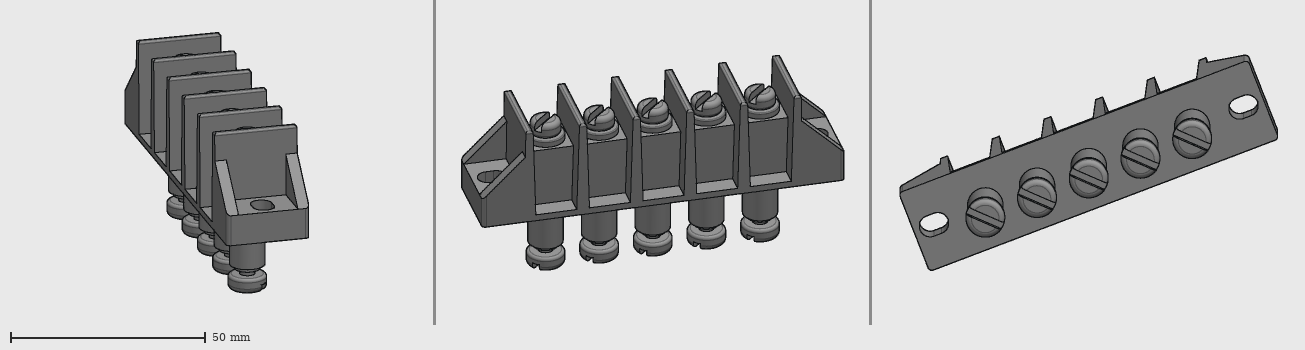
import cadquery as cq

LENGTH = 96.5
WIDTH = 22.1
FLOOR_HEIGHT = 1.7
BARRIER_TOP = 26.7
CORNER_RADIUS = 1.1

CELL_COUNT = 5
PITCH = 14.3
CELL_WIDTH_AT_FLOOR = 10.9
BARRIER_TOP_THICKNESS = 1.9
CELL_WIDTH_AT_TOP = PITCH - BARRIER_TOP_THICKNESS
BARRIER_ROUND = 0.6

SEAT_HEIGHT = 17.8
SEAT_DEPTH = 11.9

EAR_HEIGHT = 8.2
GUSSET_HEIGHT = 19.3
GUSSET_THICKNESS = 3.1
END_WALL_TOP_X = CELL_COUNT * PITCH / 2 + BARRIER_TOP_THICKNESS / 2
END_WALL_FOOT_X = END_WALL_TOP_X + 0.3
MOUNT_HOLE_X = 42.8
MOUNT_HOLE_LENGTH = 7.7
MOUNT_HOLE_WIDTH = 5.6

WASHER_DIAMETER = 10.0
WASHER_TOP = 19.5
WASHER_ROUND = 0.3
UPPER_HEAD_DIAMETER = 8.0
UPPER_HEAD_TOP = 23.6
UPPER_HEAD_ROUND = 1.4
UPPER_HEAD_BASE_ROUND = 0.9
UPPER_SLOT_FLOOR = 21.5
SLEEVE_DIAMETER = 9.2
SLEEVE_BOTTOM = -12.8
COLLAR_DIAMETER = 6.7
COLLAR_BOTTOM = -14.0
NECK_DIAMETER = 4.0
LOWER_HEAD_DIAMETER = 10.0
LOWER_HEAD_TOP = -15.4
LOWER_HEAD_BOTTOM = -19.5
LOWER_HEAD_TOP_ROUND = 0.9
LOWER_HEAD_ROUND = 1.4
LOWER_SLOT_FLOOR = -17.5
SLOT_WIDTH = 2.0
SLOT_ANGLE = 45.0
SLOT_CUT_LENGTH = 2 * LOWER_HEAD_DIAMETER

CELL_CENTERS = [(i - (CELL_COUNT - 1) / 2) * PITCH for i in range(CELL_COUNT)]


def extrude_across(points, width):
    """Extrude an XZ outline by a width centred on Y = 0."""
    return cq.Workplane("XZ").polyline(points).close().extrude(width / 2, both=True)


def end_wall_x(z):
    """Distance of the slightly drafted outer face of the end barriers from X = 0 at height z."""
    height_share = (z - EAR_HEIGHT) / (BARRIER_TOP - EAR_HEIGHT)
    return END_WALL_FOOT_X + height_share * (END_WALL_TOP_X - END_WALL_FOOT_X)


def make_body():
    """Side outline of the housing with rounded vertical end corners."""
    half_length = LENGTH / 2
    right_half = [
        (half_length, 0),
        (half_length, EAR_HEIGHT),
        (end_wall_x(GUSSET_HEIGHT), GUSSET_HEIGHT),
        (END_WALL_TOP_X, BARRIER_TOP),
    ]
    left_half = [(-x, z) for x, z in reversed(right_half)]
    body = extrude_across(right_half + left_half, WIDTH)
    return body.edges("|Z").edges("<X or >X").fillet(CORNER_RADIUS)


def make_cell_cutter(center_x):
    """Drafted gap between two barriers, narrowing towards its floor."""
    half_floor = CELL_WIDTH_AT_FLOOR / 2
    half_top = CELL_WIDTH_AT_TOP / 2
    outline = [
        (center_x - half_floor, FLOOR_HEIGHT),
        (center_x + half_floor, FLOOR_HEIGHT),
        (center_x + half_top, BARRIER_TOP),
        (center_x - half_top, BARRIER_TOP),
    ]
    return extrude_across(outline, WIDTH)


def make_ear_pocket(side):
    """Space over a mounting ear, between its two gussets."""
    outline = [
        (side * LENGTH / 2, EAR_HEIGHT),
        (side * END_WALL_FOOT_X, EAR_HEIGHT),
        (side * end_wall_x(GUSSET_HEIGHT), GUSSET_HEIGHT),
        (side * LENGTH / 2, GUSSET_HEIGHT),
    ]
    return extrude_across(outline, WIDTH - 2 * GUSSET_THICKNESS)


def make_seats():
    """Raised blocks between the barriers that carry the terminals."""
    row_length = CELL_COUNT * PITCH
    return cq.Workplane("XY").box(row_length, SEAT_DEPTH, SEAT_HEIGHT, centered=(True, True, False))


def make_mount_holes():
    return (
        cq.Workplane("XY")
        .pushPoints([(-MOUNT_HOLE_X, 0), (MOUNT_HOLE_X, 0)])
        .slot2D(MOUNT_HOLE_LENGTH, MOUNT_HOLE_WIDTH)
        .extrude(EAR_HEIGHT)
    )


def make_terminal_bores():
    return (
        cq.Workplane("XY")
        .pushPoints([(x, 0) for x in CELL_CENTERS])
        .circle(SLEEVE_DIAMETER / 2)
        .extrude(SEAT_HEIGHT)
    )


def make_housing():
    housing = make_body()
    for center_x in CELL_CENTERS:
        housing = housing.cut(make_cell_cutter(center_x))
    for side in (-1, 1):
        housing = housing.cut(make_ear_pocket(side))
    housing = housing.faces(">Z").edges().fillet(BARRIER_ROUND)
    housing = housing.union(make_seats())
    return housing.cut(make_mount_holes()).cut(make_terminal_bores())


def make_disc(diameter, bottom, top):
    return cq.Workplane("XY").workplane(offset=bottom).circle(diameter / 2).extrude(top - bottom)


def make_screw_slot(bottom, top):
    """Screwdriver slot long enough to cross either screw head."""
    return (
        cq.Workplane("XY", origin=(0, 0, bottom))
        .box(SLOT_CUT_LENGTH, SLOT_WIDTH, top - bottom, centered=(True, True, False))
        .rotate((0, 0, 0), (0, 0, 1), SLOT_ANGLE)
    )


def make_upper_head():
    head = make_disc(UPPER_HEAD_DIAMETER, WASHER_TOP, UPPER_HEAD_TOP)
    head = head.faces(">Z").edges().fillet(UPPER_HEAD_ROUND)
    head = head.faces("<Z").edges().fillet(UPPER_HEAD_BASE_ROUND)
    return head.cut(make_screw_slot(UPPER_SLOT_FLOOR, UPPER_HEAD_TOP))


def make_lower_head():
    head = make_disc(LOWER_HEAD_DIAMETER, LOWER_HEAD_BOTTOM, LOWER_HEAD_TOP)
    head = head.faces("<Z").edges().fillet(LOWER_HEAD_ROUND)
    head = head.faces(">Z").edges().fillet(LOWER_HEAD_TOP_ROUND)
    return head.cut(make_screw_slot(LOWER_HEAD_BOTTOM, LOWER_SLOT_FLOOR))


def make_washer():
    washer = make_disc(WASHER_DIAMETER, SEAT_HEIGHT, WASHER_TOP)
    return washer.faces(">Z").edges().fillet(WASHER_ROUND)


def make_terminal(center_x):
    terminal = make_disc(SLEEVE_DIAMETER, SLEEVE_BOTTOM, SEAT_HEIGHT)
    terminal = terminal.union(make_washer())
    terminal = terminal.union(make_upper_head())
    terminal = terminal.union(make_disc(COLLAR_DIAMETER, COLLAR_BOTTOM, SLEEVE_BOTTOM))
    terminal = terminal.union(make_disc(NECK_DIAMETER, LOWER_HEAD_TOP, COLLAR_BOTTOM))
    terminal = terminal.union(make_lower_head())
    return terminal.translate((center_x, 0, 0))


housing = make_housing()
terminals = [make_terminal(center_x) for center_x in CELL_CENTERS]

result = cq.Compound.makeCompound([housing.val(), *[terminal.val() for terminal in terminals]])